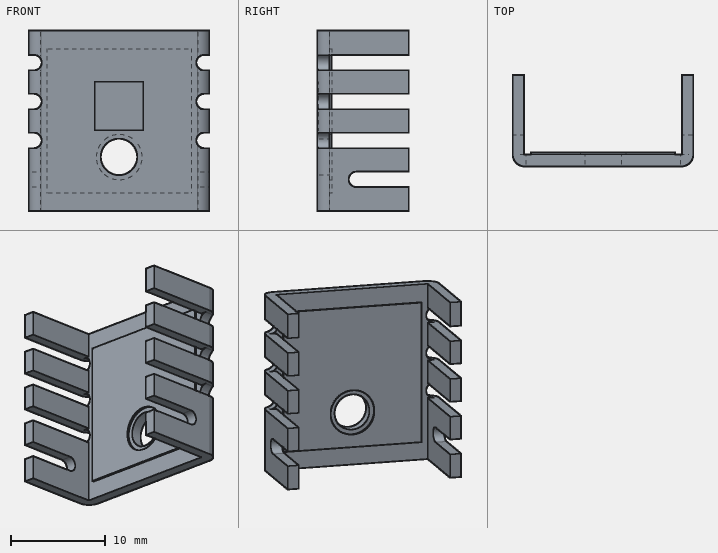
import cadquery as cq

width = 19.05
height = 19.05
depth = 9.65
plate_thickness = 1.3
leg_thickness = 1.22
bend_radius = plate_thickness

slot_width = 1.6
slot_pitch = 4.1
top_slot_z = 15.64
side_slot_count = 3
side_slot_depth = 1.37
end_slot_depth = 6.32

hole_z = 5.72
hole_diameter = 3.81

recess_size = 5.09
recess_depth = 0.1
recess_center_z = 11.09

pad_size = 15.16
pad_thickness = 0.23
pad_hole_diameter = 4.8

end_slot_z = top_slot_z - side_slot_count * slot_pitch


def cylinder_along_y(diameter, y_start, length):
    """Cylinder on the screw-hole axis, from y_start towards +Y."""
    return cq.Workplane("XZ", origin=(0, y_start, hole_z)).circle(diameter / 2).extrude(-length)


def make_channel():
    """U-shaped channel with rounded outer bends and sharp inner corners."""
    block = cq.Workplane("XY").box(width, depth, height, centered=(True, False, False))
    block = block.edges("|Z and <Y").fillet(bend_radius)
    inside = (
        cq.Workplane("XY", origin=(0, plate_thickness, 0))
        .box(width - 2 * leg_thickness, depth, height, centered=(True, False, False))
    )
    return block.cut(inside)


def make_side_slots():
    """Cutters along Y: round-ended through each bend, square-ended through each leg."""
    centers = [
        (side * width / 2, top_slot_z - index * slot_pitch)
        for side in (-1, 1)
        for index in range(side_slot_count)
    ]
    bend_slots = (
        cq.Workplane("XZ")
        .pushPoints(centers)
        .slot2D(2 * side_slot_depth, slot_width)
        .extrude(-plate_thickness)
    )
    leg_slots = (
        cq.Workplane("XZ", origin=(0, plate_thickness, 0))
        .pushPoints(centers)
        .rect(2 * leg_thickness, slot_width)
        .extrude(-(depth - plate_thickness))
    )
    return bend_slots.add(leg_slots).combine()


def make_end_slot():
    """Round-ended cutter that opens at the leg ends and crosses both legs along X."""
    return (
        cq.Workplane("YZ", origin=(0, depth, end_slot_z))
        .slot2D(2 * end_slot_depth, slot_width)
        .extrude(width / 2, both=True)
    )


def make_recess():
    """Shallow square cutter in the front face above the screw hole."""
    return (
        cq.Workplane("XZ", origin=(0, 0, recess_center_z))
        .rect(recess_size, recess_size)
        .extrude(-recess_depth)
    )


def make_heat_sink():
    screw_hole = cylinder_along_y(hole_diameter, 0, plate_thickness)
    return (
        make_channel()
        .cut(make_side_slots())
        .cut(make_end_slot())
        .cut(screw_hole)
        .cut(make_recess())
    )


def make_pad():
    """Square pad centred on the plate, with a clearance hole round the screw hole."""
    sheet = (
        cq.Workplane("XZ", origin=(0, plate_thickness, height / 2))
        .rect(pad_size, pad_size)
        .extrude(-pad_thickness)
    )
    return sheet.cut(cylinder_along_y(pad_hole_diameter, plate_thickness, pad_thickness))


heat_sink = make_heat_sink()
pad = make_pad()
result = cq.Compound.makeCompound([heat_sink.val(), pad.val()])